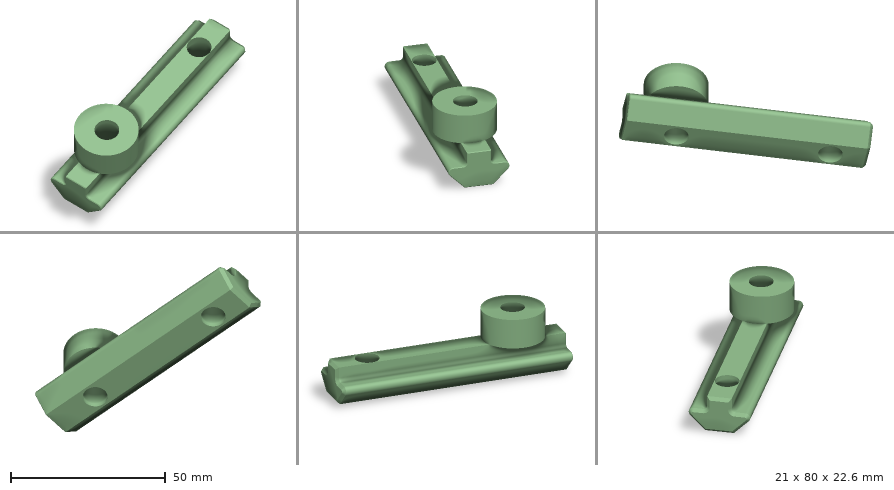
import cadquery as cq
import math

length = 80.0
flange_width = 20.4
flange_top = 7.7
tip_radius = 1.6
neck_width = 8.2
neck_top = 12.6
root_radius = 1.2
front_chamfer = 0.2
back_chamfer = 1.0

collar_diameter = 21.0
collar_height = 10.0
rail_offset = 0.2

hole_diameter = 8.0
collar_y = 17.0
back_hole_y = 67.6


def half_outline():
    """Right half of the rail section; the lower flank rises at 45 degrees."""
    half_neck = neck_width / 2
    tip_x = flange_width / 2 - tip_radius
    tip_z = flange_top - tip_radius
    diagonal = tip_radius * math.sin(math.radians(45))
    flank_x = tip_x + diagonal
    flank_z = tip_z - diagonal
    base_x = flank_x - flank_z
    return (
        cq.Workplane("XZ")
        .lineTo(base_x, 0)
        .lineTo(flank_x, flank_z)
        .threePointArc(
            (tip_x + diagonal, tip_z + diagonal),
            (tip_x, flange_top),
        )
        .lineTo(half_neck + root_radius, flange_top)
        .radiusArc((half_neck, flange_top + root_radius), root_radius)
        .lineTo(half_neck, neck_top)
        .lineTo(0, neck_top)
    )


def make_rail():
    rail = half_outline().mirrorY().extrude(-length)
    rail = rail.faces("<Y").chamfer(front_chamfer)
    rail = rail.faces(">Y").chamfer(back_chamfer)
    return rail.translate((rail_offset, 0, 0))


def make_collar():
    return (
        cq.Workplane("XY", origin=(0, collar_y, neck_top))
        .circle(collar_diameter / 2)
        .extrude(collar_height)
    )


def make_holes():
    return (
        cq.Workplane("XY")
        .pushPoints([(rail_offset, collar_y), (rail_offset, back_hole_y)])
        .circle(hole_diameter / 2)
        .extrude(neck_top + collar_height)
    )


result = make_rail().union(make_collar()).cut(make_holes())